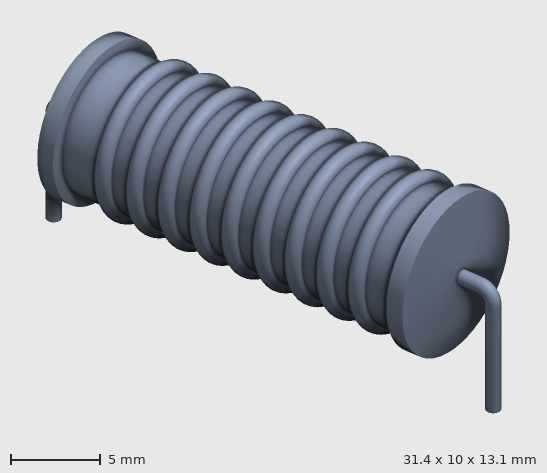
import cadquery as cq

overall_length = 31.38
overall_height = 13.1
flange_diameter = 10.0
body_diameter = 8.7
flange_rim_half_span = 12.65
flange_thickness = 1.1
left_bevel_length = 0.13
right_bevel_length = 0.5
end_cone_height = 0.38
hub_diameter = 1.38

ring_count = 9
ring_pitch = 2.2
first_ring_x = -8.5
ring_wire_diameter = 1.07

lead_diameter = 0.9
bend_radius = lead_diameter

flange_radius = flange_diameter / 2
body_radius = body_diameter / 2
hub_radius = hub_diameter / 2
end_face_x = flange_rim_half_span + end_cone_height
flange_inner_x = flange_rim_half_span - flange_thickness


def make_bobbin():
    """Revolve the flanged body with its conical ends about X."""
    return (
        cq.Workplane("XY")
        .moveTo(-end_face_x, 0)
        .lineTo(-end_face_x, hub_radius)
        .lineTo(-flange_rim_half_span, flange_radius)
        .lineTo(-flange_inner_x, flange_radius)
        .lineTo(-flange_inner_x + left_bevel_length, body_radius)
        .lineTo(flange_inner_x - right_bevel_length, body_radius)
        .lineTo(flange_inner_x, flange_radius)
        .lineTo(flange_rim_half_span, flange_radius)
        .lineTo(end_face_x, hub_radius)
        .lineTo(end_face_x, 0)
        .close()
        .revolve(360, (0, 0, 0), (1, 0, 0))
    )


def make_ring(x):
    """Round wire ring, half sunk into the body surface."""
    return (
        cq.Workplane("XY")
        .center(x, body_radius)
        .circle(ring_wire_diameter / 2)
        .revolve(360, (0, -body_radius, 0), (1, -body_radius, 0))
    )


def make_lead(side):
    """Lead leaving an end face along X and bending down; side is -1 or 1."""
    vertical_x = overall_length / 2 - lead_diameter / 2
    bend_start_x = vertical_x - bend_radius
    bottom_z = flange_radius - overall_height
    path = (
        cq.Workplane("XZ")
        .moveTo(side * flange_rim_half_span, 0)
        .lineTo(side * bend_start_x, 0)
        .tangentArcPoint((side * vertical_x, -bend_radius), relative=False)
        .lineTo(side * vertical_x, bottom_z)
    )
    return (
        cq.Workplane("YZ", origin=(side * flange_rim_half_span, 0, 0))
        .circle(lead_diameter / 2)
        .sweep(path)
    )


result = make_bobbin()
for index in range(ring_count):
    result = result.union(make_ring(first_ring_x + index * ring_pitch))
for side in (-1, 1):
    result = result.union(make_lead(side))